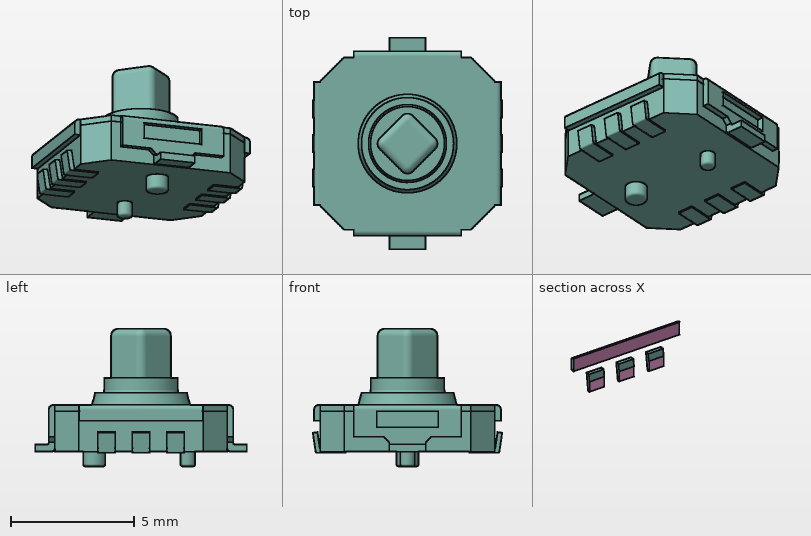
import cadquery as cq
import math


housing_length_x = 7.095
housing_length_y = 7.0
corner_chamfer = 0.97
housing_top_z = 1.65

sheet = 0.25
bend_radius = 0.2
cover_top_z = housing_top_z + sheet
half_x = housing_length_x / 2
half_y = housing_length_y / 2

side_tab_width = 5.005
side_tab_bottom_z = 1.25

foot_tab_width = 4.37
foot_tab_bottom_z = 0.6
window_width = 2.49
window_bottom_z = 1.0
foot_width = 1.48
foot_taper = 0.22
foot_thickness = 0.3
foot_tip_y = 4.3
foot_root_radius = 0.05
foot_heel_radius = 0.13

draft = math.tan(math.radians(15))
boss_height = 0.5
boss_top_z = cover_top_z + boss_height
boss_base_radius = 2.0
opening_radius = 1.58
boss_sheet = 0.2

stick_side = 1.9
stick_radius = 0.3
stick_top_z = 5.0
collar_diameter = 3.0
collar_top_z = 3.0
skirt_top_z = 2.5

terminal_width = 0.705
terminal_pitch = 1.4
terminal_thickness = 0.2
terminal_lean = math.radians(8.5)
terminal_tip_x = 3.8485
terminal_tip_z = 0.8
terminal_bottom_z = -0.05
terminal_foot_end_x = 2.5
terminal_bend_radius = 0.07

pin_length = 0.6
pin_offset_y = 1.9
large_pin_diameter = 0.9
small_pin_diameter = 0.6
pin_tip_radius = 0.1


def footprint_plate(bottom_z, height):
    """Rectangular block with the four chamfered corners shared by housing and cover."""
    return (
        cq.Workplane("XY", origin=(0, 0, bottom_z))
        .rect(housing_length_x, housing_length_y)
        .extrude(height)
        .edges("|Z")
        .chamfer(corner_chamfer)
    )


def cone(bottom_z, top_z, bottom_radius, top_radius):
    """Solid cone frustum on the Z axis."""
    outline = [(0, bottom_z), (bottom_radius, bottom_z), (top_radius, top_z), (0, top_z)]
    return cq.Workplane("XZ").polyline(outline).close().revolve(360, (0, 0), (0, 1))


def block(x_range, y_range, z_range):
    """Axis-aligned box between the given limits."""
    sizes = [high - low for low, high in (x_range, y_range, z_range)]
    corner = (x_range[0], y_range[0], z_range[0])
    return cq.Workplane("XY").box(*sizes, centered=False).translate(corner)



def make_pin(center_y, diameter):
    """Locating pin hanging from the underside, with a rounded tip."""
    return (
        cq.Workplane("XY", origin=(0, center_y, 0))
        .circle(diameter / 2)
        .extrude(-pin_length)
        .faces("<Z")
        .edges()
        .fillet(pin_tip_radius)
    )


def make_terminal(center_y):
    """Terminal on the +X side: a foot under the housing bent up into a leaning leg."""
    slope = math.tan(terminal_lean)
    across_x = terminal_thickness * math.cos(terminal_lean)
    across_z = terminal_thickness * math.sin(terminal_lean)
    foot_top_z = terminal_bottom_z + terminal_thickness
    outer_tip = (terminal_tip_x, terminal_tip_z - across_z)
    inner_tip = (terminal_tip_x - across_x, terminal_tip_z)
    outer_heel = (outer_tip[0] - slope * (outer_tip[1] - terminal_bottom_z), terminal_bottom_z)
    inner_heel = (inner_tip[0] - slope * (inner_tip[1] - foot_top_z), foot_top_z)
    outline = [
        (terminal_foot_end_x, terminal_bottom_z),
        outer_heel,
        outer_tip,
        inner_tip,
        inner_heel,
        (terminal_foot_end_x, foot_top_z),
    ]
    return (
        cq.Workplane("XZ", origin=(0, center_y + terminal_width / 2, 0))
        .polyline(outline)
        .close()
        .extrude(terminal_width)
        .edges("|Y")
        .edges(cq.selectors.NearestToPointSelector((outer_heel[0], center_y, outer_heel[1])))
        .fillet(terminal_bend_radius)
    )


def make_housing():
    """Moulded housing with its locating pins and its two rows of moulded-in terminals."""
    housing = footprint_plate(0, housing_top_z)
    housing = housing.union(make_pin(pin_offset_y, large_pin_diameter))
    housing = housing.union(make_pin(-pin_offset_y, small_pin_diameter))
    for row_position in (-1, 0, 1):
        terminal = make_terminal(row_position * terminal_pitch)
        housing = housing.union(terminal)
        housing = housing.union(terminal.mirror("YZ"))
    return housing



def make_side_tab():
    """Plain tab bent down over the +X side."""
    half_width = side_tab_width / 2
    tab = block(
        (half_x, half_x + sheet), (-half_width, half_width), (side_tab_bottom_z, cover_top_z)
    )
    return tab.edges(">X and >Z").fillet(bend_radius)


def make_foot_tab():
    """Tab bent down over the -Y side, with its window and its outward soldering foot."""
    outer_y = -(half_y + sheet)
    half_width = foot_tab_width / 2
    half_foot = foot_width / 2
    taper_bottom_z = foot_tab_bottom_z - foot_taper
    half_outline = [
        (half_width, cover_top_z),
        (half_width, foot_tab_bottom_z),
        (half_foot + foot_taper, foot_tab_bottom_z),
        (half_foot, taper_bottom_z),
        (half_foot, 0),
    ]
    outline = half_outline + [(-x, z) for x, z in reversed(half_outline)]
    tab = cq.Workplane("XZ", origin=(0, -half_y, 0)).polyline(outline).close().extrude(sheet)
    tab = tab.edges("<Y and >Z").fillet(bend_radius)
    tab = tab.edges(">Y and <Z").fillet(foot_heel_radius)

    window = block(
        (-window_width / 2, window_width / 2), (outer_y, -half_y), (window_bottom_z, housing_top_z)
    )
    foot = block((-half_foot, half_foot), (-foot_tip_y, outer_y), (0, foot_thickness))
    root_fillet = (
        cq.Workplane("YZ", origin=(-half_foot, outer_y, foot_thickness))
        .lineTo(-foot_root_radius, 0)
        .radiusArc((0, foot_root_radius), -foot_root_radius)
        .close()
        .extrude(foot_width)
    )
    return tab.cut(window).union(foot).union(root_fillet)


def make_cover():
    """Sheet-metal cover: plate with a drawn hollow boss and four bent tabs."""
    boss_top_radius = boss_base_radius - boss_height * draft
    ceiling_z = boss_top_z - boss_sheet
    wall = boss_sheet * math.hypot(1, draft)
    cavity_base_radius = boss_base_radius + sheet * draft - wall
    cavity_top_radius = cavity_base_radius - (ceiling_z - housing_top_z) * draft

    cover = footprint_plate(housing_top_z, sheet)
    cover = cover.union(cone(cover_top_z, boss_top_z, boss_base_radius, boss_top_radius))
    cover = cover.cut(cone(housing_top_z, ceiling_z, cavity_base_radius, cavity_top_radius))
    cover = cover.cut(cone(housing_top_z, boss_top_z, opening_radius, opening_radius))

    side_tab = make_side_tab()
    foot_tab = make_foot_tab()
    for tab in (side_tab, side_tab.mirror("YZ"), foot_tab, foot_tab.mirror("XZ")):
        cover = cover.union(tab)
    return cover



def make_stem():
    """Square stick turned 45 degrees, on a round collar whose skirt flares under the cover."""
    collar_radius = collar_diameter / 2
    skirt_radius = collar_radius + (skirt_top_z - housing_top_z) * draft
    stick = (
        cq.Workplane("XY", origin=(0, 0, collar_top_z))
        .rect(stick_side, stick_side)
        .extrude(stick_top_z - collar_top_z)
        .edges("|Z or >Z")
        .fillet(stick_radius)
        .rotate((0, 0, 0), (0, 0, 1), 45)
    )
    collar = cone(skirt_top_z, collar_top_z, collar_radius, collar_radius)
    skirt = cone(housing_top_z, skirt_top_z, skirt_radius, collar_radius)
    return skirt.union(collar).union(stick)


housing = make_housing()
cover = make_cover()
stem = make_stem()

result = cq.Compound.makeCompound([housing.val(), cover.val(), stem.val()])